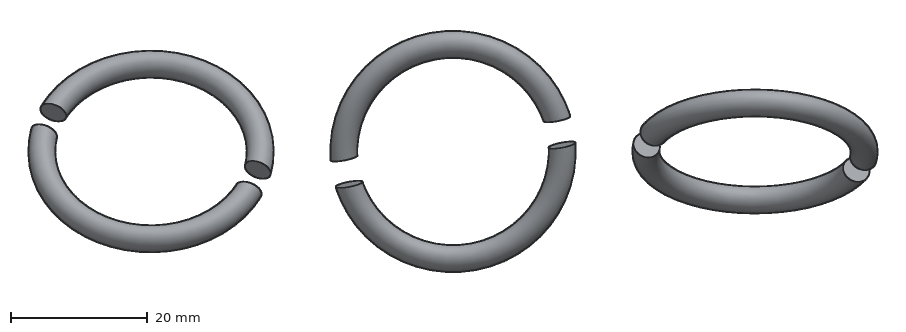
import cadquery as cq

outer_diameter = 36.0
wire_diameter = 4.0
gap_width = 4.0

wire_radius = wire_diameter / 2
centerline_radius = (outer_diameter - wire_diameter) / 2


def make_half_ring(side):
    """Round-wire half ring on the +Y (side = 1) or -Y (side = -1) side of the gap."""
    ring = cq.Workplane("XY").add(cq.Solid.makeTorus(centerline_radius, wire_radius))
    half_space = (
        cq.Workplane("XY")
        .box(2 * outer_diameter, outer_diameter, 2 * wire_diameter)
        .translate((0, side * (gap_width + outer_diameter) / 2, 0))
    )
    half = ring.intersect(half_space)
    return half.solids()


half_rings = [make_half_ring(side) for side in (1, -1)]

result = cq.Compound.makeCompound([half_ring.val() for half_ring in half_rings])